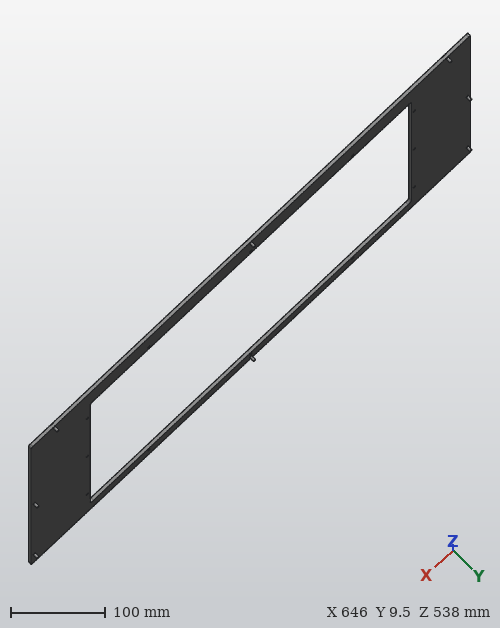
import cadquery as cq

PLATE_WIDTH = 646
PLATE_HEIGHT = 538.0
PLATE_THICKNESS = 4.0
PLATE_CORNER_RADIUS = 2.9

OPENING_WIDTH = 471.5
OPENING_HEIGHT = 459.0
OPENING_CORNER_RADIUS = 4.5
OPENING_CENTER_Z = -12.0

SMALL_HOLE_DIAMETER = 3.0
SMALL_HOLE_MARGIN_X = 4.5
SMALL_HOLE_MARGIN_Z = 8.0
SMALL_HOLE_PITCH_X = 150.0
SMALL_HOLE_PITCH_Z = 175.0

SCREW_PROTRUSION = 5.5
SCREW_LENGTH = PLATE_THICKNESS + SCREW_PROTRUSION
SCREW_HEAD_DIAMETER = 6.0
SCREW_SHANK_DIAMETER = 3.0
SCREW_HEAD_DEPTH = (SCREW_HEAD_DIAMETER - SCREW_SHANK_DIAMETER) / 2
SOCKET_DIAMETER = 2.5
SOCKET_DEPTH = 1.0

SIDE_SCREW_MARGIN = 4.85
TOP_SCREW_MARGIN = 4.85
BOTTOM_SCREW_MARGIN = 7.0
TOP_SCREW_PITCH = 289.0
LOW_SCREW_Z = -233.0

TOP_SCREW_Z = PLATE_HEIGHT / 2 - TOP_SCREW_MARGIN
BOTTOM_SCREW_Z = -PLATE_HEIGHT / 2 + BOTTOM_SCREW_MARGIN
SIDE_SCREW_X = PLATE_WIDTH / 2 - SIDE_SCREW_MARGIN
SCREW_PLACES = (
    [(column * TOP_SCREW_PITCH, TOP_SCREW_Z) for column in (-1, 0, 1)]
    + [(side * SIDE_SCREW_X, z) for side in (-1, 1) for z in (0, LOW_SCREW_Z)]
    + [(0, BOTTOM_SCREW_Z)]
)


def front_plane(x=0, z=0):
    """Sketch plane on the front face (Y = 0), with its normal pointing into the plate (+Y)."""
    return cq.Workplane(cq.Plane(origin=(x, 0, z), xDir=(1, 0, 0), normal=(0, 1, 0)))


def rounded_slab(width, height, corner_radius):
    """Slab of the plate's thickness with rounded corners, centred in X and Z."""
    slab = front_plane().rect(width, height).extrude(PLATE_THICKNESS)
    return slab.edges("|Y").fillet(corner_radius)


def screw_blank(x, z):
    """Solid countersunk screw: a cone from the front face that narrows to a straight shank."""
    profile = [
        (0, 0),
        (SCREW_HEAD_DIAMETER / 2, 0),
        (SCREW_SHANK_DIAMETER / 2, SCREW_HEAD_DEPTH),
        (SCREW_SHANK_DIAMETER / 2, SCREW_LENGTH),
        (0, SCREW_LENGTH),
    ]
    blank = cq.Workplane("XY").polyline(profile).close().revolve(360, (0, 0), (0, 1))
    return blank.translate((x, 0, z))


def make_screw(x, z):
    """Countersunk screw with a hexagonal socket in its head."""
    socket = front_plane(x, z).polygon(6, SOCKET_DIAMETER).extrude(SOCKET_DEPTH)
    return screw_blank(x, z).cut(socket)


def small_hole_places():
    """Three holes along each side of the opening, as X and Z places."""
    side_x = OPENING_WIDTH / 2 + SMALL_HOLE_MARGIN_X
    side_z = OPENING_HEIGHT / 2 + SMALL_HOLE_MARGIN_Z
    places = []
    for step in (-1, 0, 1):
        for side in (-1, 1):
            places.append((step * SMALL_HOLE_PITCH_X, OPENING_CENTER_Z + side * side_z))
            places.append((side * side_x, OPENING_CENTER_Z + step * SMALL_HOLE_PITCH_Z))
    return places


def make_plate():
    """Flat frame with the opening, the small holes and a fitting hole for every screw."""
    plate = rounded_slab(PLATE_WIDTH, PLATE_HEIGHT, PLATE_CORNER_RADIUS)
    opening = rounded_slab(OPENING_WIDTH, OPENING_HEIGHT, OPENING_CORNER_RADIUS)
    plate = plate.cut(opening.translate((0, 0, OPENING_CENTER_Z)))
    for x, z in small_hole_places():
        plate = plate.cut(front_plane(x, z).circle(SMALL_HOLE_DIAMETER / 2).extrude(PLATE_THICKNESS))
    for x, z in SCREW_PLACES:
        plate = plate.cut(screw_blank(x, z))
    return plate


plate = make_plate()
screws = [make_screw(x, z) for x, z in SCREW_PLACES]

result = cq.Compound.makeCompound([plate.val(), *[screw.val() for screw in screws]])